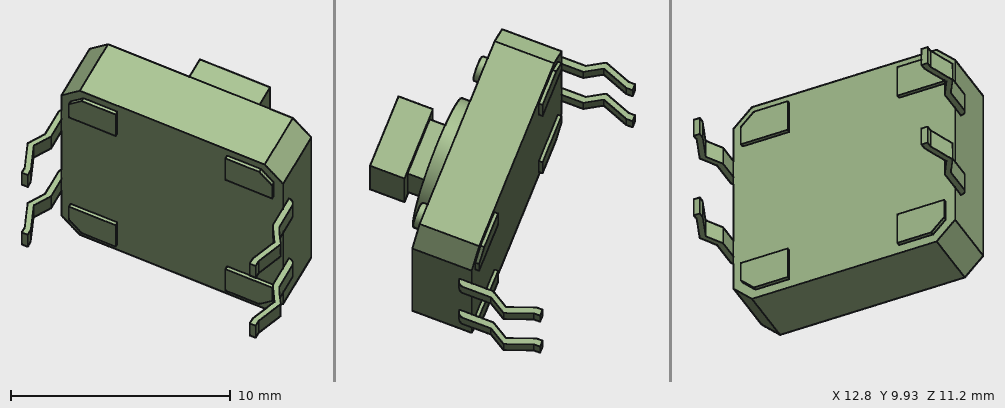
import cadquery as cq
import math


housing_side = 11.24
housing_depth = 2.905
housing_chamfer = 0.937

foot_width = 2.37
foot_height = 1.67
foot_thickness = 0.18
foot_chamfer = 0.65
foot_inset = 0.47

stud_pitch = 7.5
stud_radius = 0.6
stud_height = 0.47
stud_fillet = 0.1

collar_radius = 3.15
collar_height = 0.937

stem_side = 2.78
stem_height = 0.937
cap_side = 3.56
cap_height = 1.686

terminal_pitch = 4.66
terminal_width = 0.94
terminal_thickness = 0.31
terminal_top = 0.6
terminal_span = 12.83
kink_reach = (terminal_span - housing_side) / 2 - terminal_thickness
kink_start = -1.06
kink_peak = -1.87
kink_end = -3.16
terminal_end = -3.465

half_side = housing_side / 2
stem_base = housing_depth + collar_height
cap_base = stem_base + stem_height


def block_along_y(width, height, y_start, depth):
    """Box centred on the Y axis, growing toward +Y from y_start."""
    return cq.Workplane("XY").box(width, depth, height).translate((0, y_start + depth / 2, 0))


def cylinder_along_y(radius, y_start, height, x=0, z=0):
    """Cylinder growing toward +Y from y_start."""
    base = cq.Vector(x, y_start, z)
    return cq.Workplane(cq.Solid.makeCylinder(radius, height, base, cq.Vector(0, 1, 0)))


def make_foot(x_sign, z_sign):
    """Thin rectangular foot with its outer corner cut off."""
    outer = half_side - foot_inset
    inner_x = outer - foot_width
    inner_z = outer - foot_height
    corners = [
        (inner_x, inner_z),
        (outer, inner_z),
        (outer, outer - foot_chamfer),
        (outer - foot_chamfer, outer),
        (inner_x, outer),
    ]
    signed_corners = [(x_sign * x, z_sign * z) for x, z in corners]
    return cq.Workplane("XZ").polyline(signed_corners).close().extrude(foot_thickness)


def make_stud(x_sign, z_sign):
    """Short round stud with a rounded top edge."""
    offset = stud_pitch / 2
    stud = cylinder_along_y(stud_radius, housing_depth, stud_height, x_sign * offset, z_sign * offset)
    return stud.faces(">Y").edges().fillet(stud_fillet)


def make_housing():
    """Corner-chamfered block carrying the four feet and four studs."""
    housing = block_along_y(housing_side, housing_side, 0, housing_depth)
    housing = housing.edges("|Y").chamfer(housing_chamfer)
    for x_sign in (-1, 1):
        for z_sign in (-1, 1):
            housing = housing.union(make_foot(x_sign, z_sign))
            housing = housing.union(make_stud(x_sign, z_sign))
    return housing


def make_collar():
    """Round disc resting on the button side of the housing."""
    return cylinder_along_y(collar_radius, housing_depth, collar_height)


def make_button():
    """Square stem and cap standing on the collar."""
    stem = block_along_y(stem_side, stem_side, stem_base, stem_height)
    cap = block_along_y(cap_side, cap_side, cap_base, cap_height)
    return stem.union(cap)


def make_terminal(x_sign, z_center):
    """Strip lying against the housing side, rounded at its top and kinked outward below."""
    inner = half_side
    outer = inner + terminal_thickness
    round_mid = terminal_thickness * math.sqrt(0.5)
    round_start = terminal_top - terminal_thickness
    profile = (
        cq.Workplane("XY", origin=(0, 0, z_center - terminal_width / 2))
        .moveTo(x_sign * inner, terminal_top)
        .threePointArc(
            (x_sign * (inner + round_mid), round_start + round_mid),
            (x_sign * outer, round_start),
        )
        .lineTo(x_sign * outer, kink_start)
        .lineTo(x_sign * (outer + kink_reach), kink_peak)
        .lineTo(x_sign * outer, kink_end)
        .lineTo(x_sign * outer, terminal_end)
        .lineTo(x_sign * inner, terminal_end)
        .lineTo(x_sign * inner, kink_end)
        .lineTo(x_sign * (inner + kink_reach), kink_peak)
        .lineTo(x_sign * inner, kink_start)
        .close()
    )
    return profile.extrude(terminal_width)


housing = make_housing()
collar = make_collar()
button = make_button()
terminals = [
    make_terminal(x_sign, z_sign * terminal_pitch / 2)
    for x_sign in (-1, 1)
    for z_sign in (-1, 1)
]

result = cq.Compound.makeCompound(
    [housing.val(), collar.val(), button.val(), *[terminal.val() for terminal in terminals]]
)